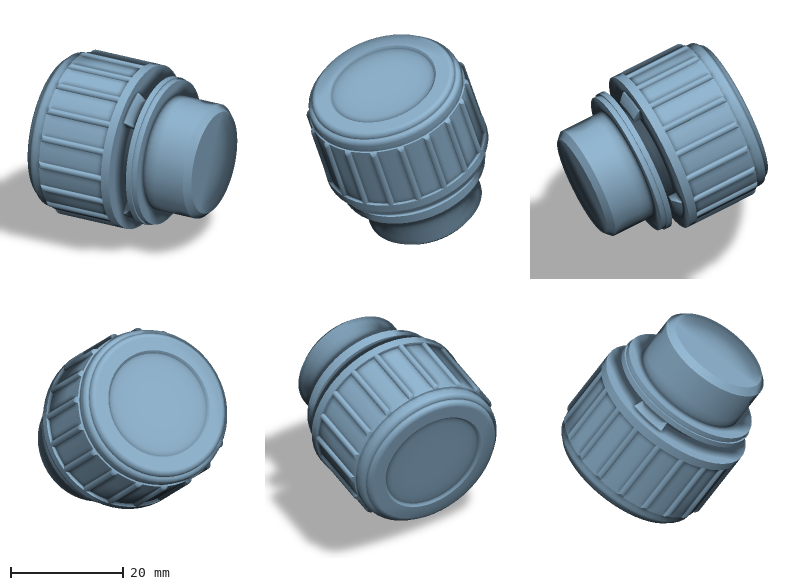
import cadquery as cq

front_ring_radius = 26.4 / 2
second_ring_radius = 28.2 / 2
ring_round = 0.9
second_ring_x = 1.0

recess_mouth_radius = 9.9
recess_depth = 0.45

grip_radius = 14.4
grip_x = 3.15
collar_radius = 30 / 2
collar_x = 15.75
collar_width = 1.6
collar_end_x = collar_x + collar_width

rib_count = 18
rib_radius = collar_radius - grip_radius
grip_front_round = collar_radius - second_ring_radius

neck_radius = 17.86 / 2
flange_x = 20.0
flange_radius = 27 / 2
flange_width = 1.0
washer_radius = 26.4 / 2
washer_width = 1.0
spigot_radius = 20.95 / 2
spigot_chamfer = 1.15
total_length = 31.0

claw_count = 3
claw_half_angle = 15
claw_inner_radius = 10.4
claw_outer_radius = 12.9
claw_tip_radius = 11.45
claw_straight_length = 0.35
claw_length = 1.55
claw_overlap = 0.5


def disc(x_start, x_end, radius):
    """Solid cylinder about the X axis between two X positions."""
    return cq.Workplane("YZ", origin=(x_start, 0, 0)).circle(radius).extrude(x_end - x_start)


def make_grip():
    """Cylinder with round bars half sunk in it; one front rounding trims both."""
    bars = (
        cq.Workplane("YZ", origin=(grip_x, 0, 0))
        .polarArray(grip_radius, 0, 360, rib_count)
        .circle(rib_radius)
        .extrude(collar_x - grip_x)
    )
    ribbed = disc(grip_x, collar_x, grip_radius).union(bars)
    envelope = disc(grip_x, collar_x, collar_radius).faces("<X").edges().fillet(grip_front_round)
    return ribbed.intersect(envelope)


def make_knob_body():
    front_ring = disc(0, second_ring_x, front_ring_radius).faces("<X").edges().fillet(ring_round)
    second_ring = disc(second_ring_x, grip_x, second_ring_radius).faces("<X").edges().fillet(ring_round)
    collar = disc(collar_x, collar_end_x, collar_radius)
    return front_ring.union(second_ring).union(make_grip()).union(collar)


def make_front_recess():
    floor_radius = recess_mouth_radius - recess_depth
    profile = [
        (0, 0),
        (0, recess_mouth_radius),
        (recess_depth, floor_radius),
        (recess_depth, 0),
    ]
    return cq.Workplane("XY").polyline(profile).close().revolve(360, (0, 0, 0), (1, 0, 0))


def make_shank():
    washer_x = flange_x + flange_width
    spigot_x = washer_x + washer_width
    neck = disc(collar_end_x, flange_x, neck_radius)
    flange = disc(flange_x, washer_x, flange_radius)
    washer = disc(washer_x, spigot_x, washer_radius)
    spigot = disc(spigot_x, total_length, spigot_radius).faces(">X").edges().chamfer(spigot_chamfer)
    return neck.union(flange).union(washer).union(spigot)


def make_claw():
    """Ring sector centred on +Y whose outer side slopes inwards to the tip."""
    root_x = collar_end_x - claw_overlap
    tip_x = collar_end_x + claw_length
    profile = [
        (root_x, claw_inner_radius),
        (root_x, claw_outer_radius),
        (collar_end_x + claw_straight_length, claw_outer_radius),
        (tip_x, claw_tip_radius),
        (tip_x, claw_inner_radius),
    ]
    sector = cq.Workplane("XY").polyline(profile).close().revolve(2 * claw_half_angle, (0, 0, 0), (1, 0, 0))
    return sector.rotate((0, 0, 0), (1, 0, 0), -claw_half_angle)


result = make_knob_body().cut(make_front_recess()).union(make_shank())
for index in range(claw_count):
    claw_angle = index * 360 / claw_count
    result = result.union(make_claw().rotate((0, 0, 0), (1, 0, 0), claw_angle))